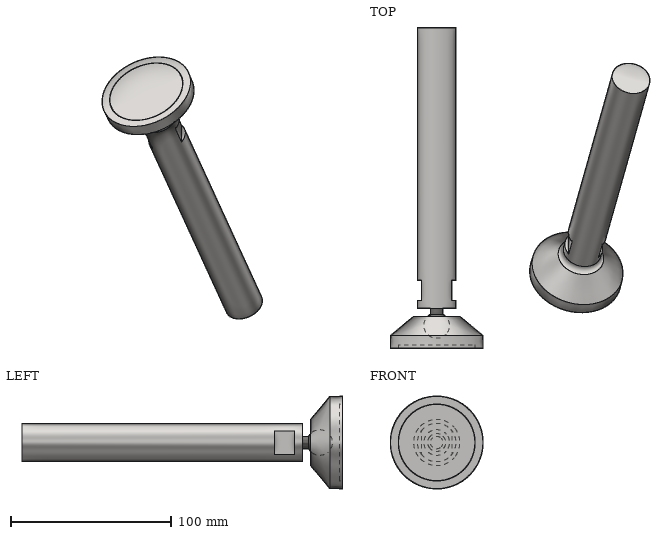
import cadquery as cq
import math

overall_length = 200.0

foot_diameter = 58.0
rim_top_diameter = 57.5
foot_top_diameter = 28.8
rim_height = 8.0
foot_height = 20.0
groove_outer_diameter = 48.0
groove_inner_diameter = 47.5
groove_depth = 2.0

leg_diameter = 24.0
leg_start = 25.0
flat_start = 30.0
flat_length = 12.5
width_across_flats = 19.0

neck_diameter = 7.8
ball_radius = 8.0
socket_mouth_diameter = 11.2
ball_center = foot_height - math.sqrt(ball_radius**2 - (socket_mouth_diameter / 2) ** 2)


def cylinder(diameter, start, length):
    """Cylinder on the Y axis running from start toward +Y."""
    return cq.Workplane("XZ", origin=(0, start, 0)).circle(diameter / 2).extrude(-length)


def make_ball():
    return cq.Workplane("XY").sphere(ball_radius).translate((0, ball_center, 0))


def make_foot():
    """Conical foot with a slightly tapered rim, a ring groove in its sole and a spherical socket."""
    profile = (
        cq.Workplane("XY")
        .moveTo(0, 0)
        .lineTo(foot_diameter / 2, 0)
        .lineTo(rim_top_diameter / 2, rim_height)
        .lineTo(foot_top_diameter / 2, foot_height)
        .lineTo(0, foot_height)
        .close()
    )
    body = profile.revolve(360, (0, 0, 0), (0, 1, 0))
    groove_core = cylinder(groove_inner_diameter, 0, groove_depth)
    groove = cylinder(groove_outer_diameter, 0, groove_depth).cut(groove_core)
    return body.cut(groove).cut(make_ball())


def make_leg():
    """Round leg with two wrench flats, ending in a neck and a ball."""
    leg = cylinder(leg_diameter, leg_start, overall_length - leg_start)
    flat_depth = (leg_diameter - width_across_flats) / 2
    for side in (-1, 1):
        flat_cutter = cq.Workplane("XY").box(flat_depth, flat_length, leg_diameter)
        flat_x = side * (width_across_flats + flat_depth) / 2
        leg = leg.cut(flat_cutter.translate((flat_x, flat_start + flat_length / 2, 0)))
    neck = cylinder(neck_diameter, ball_center, leg_start - ball_center)
    return leg.union(neck).union(make_ball())


foot = make_foot()
leg = make_leg()

result = cq.Compound.makeCompound([*foot.solids().vals(), *leg.solids().vals()])